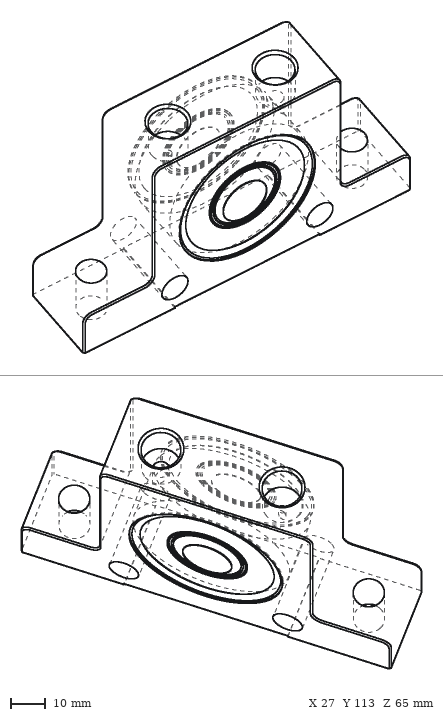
import cadquery as cq
import math

width = 27.0
base_length = 113.0
block_length = 65.0
height = 65.0
base_height = 16.0
profile_radius = 3.0
side_edge_chamfer = 0.5

relief_length = 50.0
relief_depth = 0.5

mounting_diameter = 9.0
cross_hole_spacing = 50.0
cross_hole_height = 9.0
foot_hole_spacing = 90.0

port_spacing = 37.0
port_diameter = 11.45
port_mouth_diameter = 13.2
port_depth = 11.0
drill_point_angle = 118.0
inlet_bore_diameter = 2.2
outlet_bore_diameter = 5.0

chamber_diameter = 47.9
chamber_width = 18.0

cap_height = 32.5
cap_bore_diameter = 46.9
cap_lip_depth = 0.5
cap_lip_diameter = 45.5
cap_face_diameter = 41.0
cap_face_depth = 1.2
cap_groove_slope = 60.0

ring_diameters = [(24.5, 23.5), (22.0, 20.8)]
label_diameter = 15.0
label_drop = 2.5
marking_depth = 0.2


def make_body():
    """Stepped block with rounded outline corners and chamfered side edges."""
    half_base = base_length / 2
    half_block = block_length / 2
    body = (
        cq.Workplane("YZ")
        .polyline([
            (-half_base, 0),
            (half_base, 0),
            (half_base, base_height),
            (half_block, base_height),
            (half_block, height),
            (-half_block, height),
            (-half_block, base_height),
            (-half_base, base_height),
        ])
        .close()
        .extrude(width / 2, both=True)
    )
    body = body.edges("|X").edges(">Z or (not <Z)").fillet(profile_radius)
    relief = cq.Workplane("XY").box(
        width, relief_length, relief_depth, centered=(True, True, False)
    )
    side_edges = body.faces("<X or >X").edges("not <Z")
    return side_edges.chamfer(side_edge_chamfer).cut(relief)


def make_mounting_holes():
    """Two holes across the block and one down through each foot."""
    cross_holes = (
        cq.Workplane("YZ")
        .pushPoints([(side * cross_hole_spacing / 2, cross_hole_height) for side in (-1, 1)])
        .circle(mounting_diameter / 2)
        .extrude(width, both=True)
    )
    foot_holes = (
        cq.Workplane("XY")
        .pushPoints([(0, side * foot_hole_spacing / 2) for side in (-1, 1)])
        .circle(mounting_diameter / 2)
        .extrude(height)
    )
    return cross_holes.union(foot_holes)


def make_port(y_position, bore_diameter):
    """Port with a chamfered mouth, a drill-point floor and a small bore below it."""
    port_radius = port_diameter / 2
    mouth_radius = port_mouth_diameter / 2
    bore_radius = bore_diameter / 2
    mouth_bottom = height - (mouth_radius - port_radius)
    floor = height - port_depth
    point_drop = (port_radius - bore_radius) / math.tan(math.radians(drill_point_angle / 2))
    bore_bottom = cap_height
    return (
        cq.Workplane("XZ")
        .polyline([
            (0, bore_bottom),
            (bore_radius, bore_bottom),
            (bore_radius, floor - point_drop),
            (port_radius, floor),
            (port_radius, mouth_bottom),
            (mouth_radius, height),
            (0, height),
        ])
        .close()
        .revolve(360, (0, 0), (0, 1))
        .translate((0, y_position, 0))
    )


def make_chamber():
    """Cylindrical raceway across the block, closed at both ends by the caps."""
    return (
        cq.Workplane("YZ", origin=(-chamber_width / 2, 0, cap_height))
        .circle(chamber_diameter / 2)
        .extrude(chamber_width)
    )


def make_cap_recess():
    """Recess of the -X face: cap lip, rounded groove, cap face and its shallow markings."""
    bore_radius = cap_bore_diameter / 2
    lip_radius = cap_lip_diameter / 2
    face_radius = cap_face_diameter / 2
    slope = math.radians(cap_groove_slope)
    flank_run = (cap_face_depth - cap_lip_depth) / math.tan(slope)
    groove_radius = lip_radius - flank_run
    bottom_arc_radius = (groove_radius - face_radius) / 2 / math.sin(slope)
    groove_bottom = (
        cap_face_depth + bottom_arc_radius * (1 - math.cos(slope)),
        (groove_radius + face_radius) / 2,
    )
    recess = (
        cq.Workplane("XY")
        .moveTo(0, 0)
        .lineTo(0, bore_radius)
        .lineTo(cap_lip_depth, bore_radius)
        .lineTo(cap_lip_depth, lip_radius)
        .lineTo(cap_face_depth, groove_radius)
        .threePointArc(groove_bottom, (cap_face_depth, face_radius))
        .lineTo(cap_face_depth, 0)
        .close()
        .revolve(360, (0, 0), (1, 0))
    )
    cap_face = cq.Workplane("YZ", origin=(cap_face_depth, 0, 0))
    for outer_diameter, inner_diameter in ring_diameters:
        ring = (
            cap_face.circle(outer_diameter / 2)
            .circle(inner_diameter / 2)
            .extrude(marking_depth)
        )
        recess = recess.union(ring)
    label_seat = (
        cap_face.center(0, -label_drop)
        .circle(label_diameter / 2)
        .extrude(marking_depth)
    )
    return recess.union(label_seat).translate((-width / 2, 0, cap_height))


body = make_body().cut(make_mounting_holes())
body = body.cut(make_port(-port_spacing / 2, inlet_bore_diameter))
body = body.cut(make_port(port_spacing / 2, outlet_bore_diameter))
body = body.cut(make_chamber())
cap_recess = make_cap_recess()
result = body.cut(cap_recess).cut(cap_recess.mirror("YZ"))